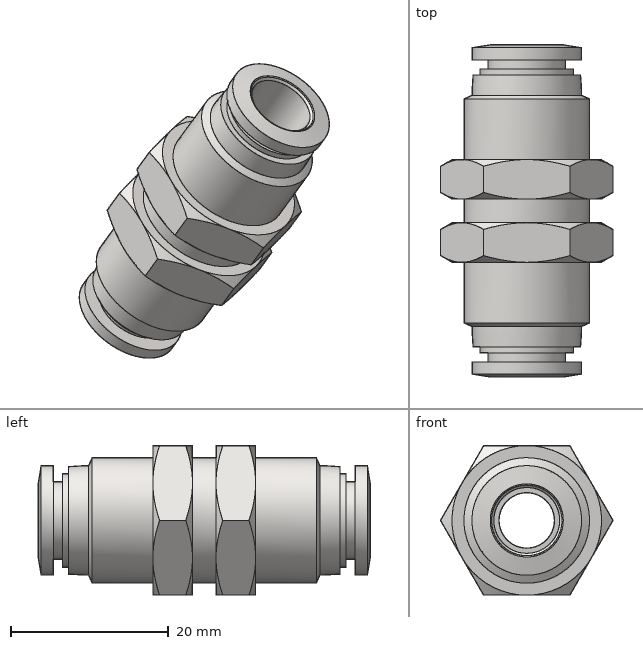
import cadquery as cq
import math

length = 42.2
half_length = length / 2

flange_radius = 6.95
flange_cone_depth = 0.4
flange_depth = 1.95
neck_radius = 4.95
neck_depth = 3.1

collar_radius = 5.95
collar_depth = 3.85
sleeve_front_radius = 6.85
sleeve_back_radius = flange_radius
sleeve_bulge = 0.035
sleeve_depth = 6.4

body_radius = 7.98
shoulder_depth = 6.88

nut_across_flats = 19.0
nut_thickness = 5.02
nut_gap = 3.0
nut_chamfer_angle = 30.0

through_radius = 3.5
socket_radius = 4.18
socket_depth = 16.9
mouth_radius = 4.65
mouth_step_radius = 4.47
mouth_step_depth = 0.1
mouth_depth = 0.4


def revolve_about_y(profile):
    """Close a profile of (radius, y) points drawn in XY and turn it about Y."""
    return profile.close().revolve(360, (0, 0, 0), (0, 1, 0))


def half_body():
    """Solid outer shape from the middle plane to the -Y end."""
    sleeve_front_y = collar_depth - half_length
    sleeve_back_y = sleeve_depth - half_length
    sleeve_middle = (
        (sleeve_front_radius + sleeve_back_radius) / 2 + sleeve_bulge,
        (sleeve_front_y + sleeve_back_y) / 2,
    )
    profile = (
        cq.Workplane("XY")
        .moveTo(0, -half_length)
        .lineTo(mouth_radius, -half_length)
        .lineTo(flange_radius, flange_cone_depth - half_length)
        .lineTo(flange_radius, flange_depth - half_length)
        .lineTo(neck_radius, flange_depth - half_length)
        .lineTo(neck_radius, neck_depth - half_length)
        .lineTo(collar_radius, neck_depth - half_length)
        .lineTo(collar_radius, sleeve_front_y)
        .lineTo(sleeve_front_radius, sleeve_front_y)
        .threePointArc(sleeve_middle, (sleeve_back_radius, sleeve_back_y))
        .lineTo(body_radius, shoulder_depth - half_length)
        .lineTo(body_radius, 0)
        .lineTo(0, 0)
    )
    return revolve_about_y(profile)


def half_bore():
    """Cutter for the bore from the middle plane to the -Y end."""
    profile = (
        cq.Workplane("XY")
        .moveTo(0, -half_length)
        .lineTo(mouth_radius, -half_length)
        .lineTo(mouth_step_radius, mouth_step_depth - half_length)
        .lineTo(socket_radius, mouth_depth - half_length)
        .lineTo(socket_radius, socket_depth - half_length)
        .lineTo(through_radius, socket_depth - half_length)
        .lineTo(through_radius, 0)
        .lineTo(0, 0)
    )
    return revolve_about_y(profile)


def nut(start_y):
    """Hexagonal nut with corners on +X and -X, chamfered on both faces."""
    corner_radius = nut_across_flats / math.sqrt(3)
    face_radius = nut_across_flats / 2
    chamfer_depth = (corner_radius - face_radius) * math.tan(math.radians(nut_chamfer_angle))
    end_y = start_y + nut_thickness
    hexagon = (
        cq.Workplane("XZ", origin=(0, start_y, 0))
        .polygon(6, 2 * corner_radius)
        .extrude(-nut_thickness)
    )
    envelope = revolve_about_y(
        cq.Workplane("XY")
        .moveTo(0, start_y)
        .lineTo(face_radius, start_y)
        .lineTo(corner_radius, start_y + chamfer_depth)
        .lineTo(corner_radius, end_y - chamfer_depth)
        .lineTo(face_radius, end_y)
        .lineTo(0, end_y)
    )
    return hexagon.intersect(envelope)


outer = half_body()
outer = outer.union(outer.mirror("XZ"))
for nut_start in (-nut_gap / 2 - nut_thickness, nut_gap / 2):
    outer = outer.union(nut(nut_start))

bore = half_bore()
result = outer.cut(bore).cut(bore.mirror("XZ"))